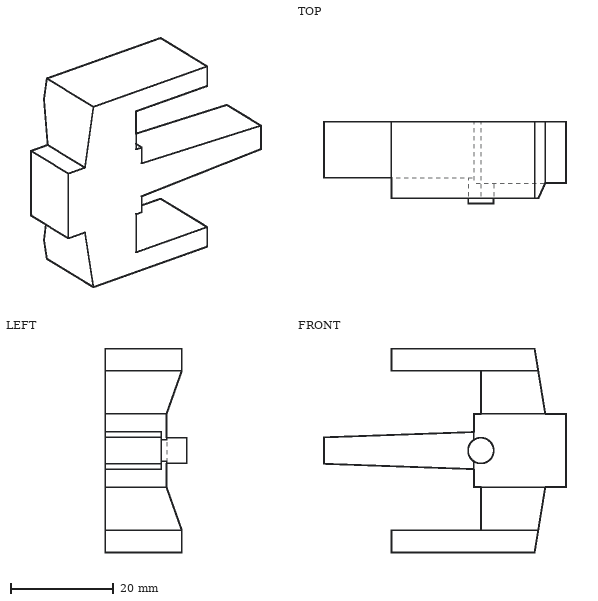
import cadquery as cq

overall_length = 47.35
overall_height = 39.8
overall_depth = 16.0

arm_start_x = 13.2
arm_end_x = 41.2
arm_thickness = 4.35
arm_depth = 15.0

block_start_x = 29.3
block_height = 14.3
block_depth = 12.05

web_start_x = 30.7
web_end_x = 43.3

tongue_depth = 11.0
tongue_tip_height = 5.2
tongue_root_height = 7.3

pin_diameter = 5.0
pin_x = web_start_x

arm_outer_z = overall_height / 2
arm_inner_z = arm_outer_z - arm_thickness
block_top_z = block_height / 2

end_slope = (web_end_x - arm_end_x) / (arm_outer_z - block_top_z)
arm_inner_end_x = arm_end_x + end_slope * arm_thickness


def extrude_forward(points, depth):
    """Extrude an XZ outline from the back plane towards -Y."""
    return cq.Workplane("XZ").polyline(points).close().extrude(depth)


def make_upper_arm():
    return extrude_forward(
        [
            (arm_start_x, arm_inner_z),
            (arm_inner_end_x, arm_inner_z),
            (arm_end_x, arm_outer_z),
            (arm_start_x, arm_outer_z),
        ],
        arm_depth,
    )


def make_upper_web():
    """Web whose front face slopes from the block front to the arm front."""
    side_profile = (
        cq.Workplane("YZ", origin=(web_start_x, 0, 0))
        .polyline(
            [
                (0, block_top_z),
                (-block_depth, block_top_z),
                (-arm_depth, arm_inner_z),
                (0, arm_inner_z),
            ]
        )
        .close()
        .extrude(web_end_x - web_start_x)
    )
    front_profile = extrude_forward(
        [
            (web_start_x, block_top_z),
            (web_end_x, block_top_z),
            (arm_inner_end_x, arm_inner_z),
            (web_start_x, arm_inner_z),
        ],
        arm_depth,
    )
    return side_profile.intersect(front_profile)


def make_block():
    return extrude_forward(
        [
            (block_start_x, -block_top_z),
            (overall_length, -block_top_z),
            (overall_length, block_top_z),
            (block_start_x, block_top_z),
        ],
        block_depth,
    )


def make_tongue():
    return extrude_forward(
        [
            (0, -tongue_tip_height / 2),
            (block_start_x, -tongue_root_height / 2),
            (block_start_x, tongue_root_height / 2),
            (0, tongue_tip_height / 2),
        ],
        tongue_depth,
    )


def make_pin():
    """Pin standing on the tongue front and merging into the block edge."""
    return (
        cq.Workplane("XZ", origin=(pin_x, -tongue_depth, 0))
        .circle(pin_diameter / 2)
        .extrude(overall_depth - tongue_depth)
    )


upper_side = make_upper_arm().union(make_upper_web())
lower_side = upper_side.mirror("XY")

result = make_block().union(upper_side).union(lower_side).union(make_tongue()).union(make_pin())